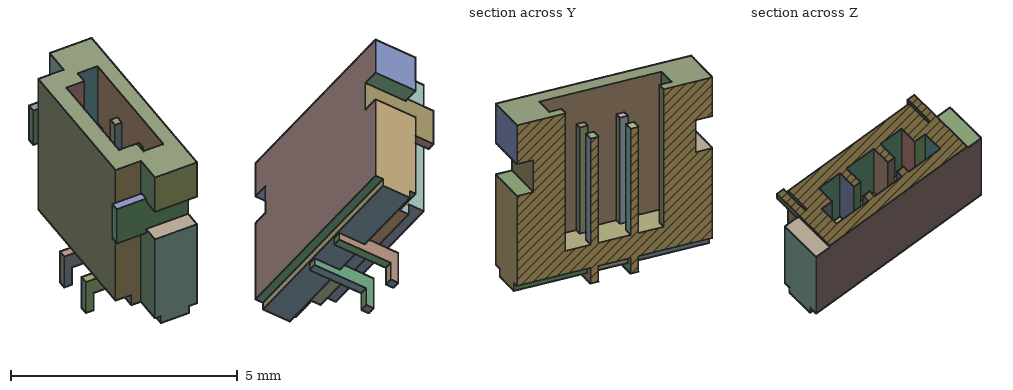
import cadquery as cq

total_height = 5.0
total_depth = 1.8

housing_width = 4.8
housing_height = 4.1
flange_depth = 1.06
front_width = 3.52
front_depth = 1.7
front_step_height = 0.3
front_step_depth = 1.3
housing_bottom = total_height - housing_height

strip_height = 0.2
strip_back = 0.2
strip_front = 0.91

cavity_back = 0.35
cavity_step = 0.85
cavity_front = 1.3
cavity_wide = 3.0
cavity_narrow = 2.4
cavity_depth = 3.5

clip_span = 4.0
clip_thickness = 0.2
clip_height = 1.0
clip_top = total_height - 0.915
notch_height = 0.8
notch_top = total_height - 1.0
notch_depth = (housing_width - clip_span) / 2

contact_pitch = 0.985
contact_width = 0.2
contact_back = 0.235
back_tine_front = 0.525
front_tine_back = 0.825
tine_top = total_height - 0.8
tail_height = 0.4
foot_length = 0.2


def block(width, back, front, bottom, top, center_x=0.0):
    """Box centred on center_x; back and front are distances from the back face."""
    return (
        cq.Workplane("XY")
        .box(width, front - back, top - bottom, centered=(True, False, False))
        .translate((center_x, -front, bottom))
    )


def make_housing():
    flange = block(housing_width, 0, flange_depth, housing_bottom, total_height)
    front = block(front_width, 0, front_depth, housing_bottom, total_height)
    step_top = housing_bottom + front_step_height
    front_step = block(front_width, front_step_depth, front_depth, housing_bottom, step_top)
    strip = block(housing_width, strip_back, strip_front, housing_bottom - strip_height, housing_bottom)
    return flange.union(front.cut(front_step)).union(strip)


def make_cavity():
    floor = total_height - cavity_depth
    wide = block(cavity_wide, cavity_back, cavity_step, floor, total_height)
    narrow = block(cavity_narrow, cavity_back, cavity_front, floor, total_height)
    return wide.union(narrow)


def make_notch(side):
    center_x = side * (housing_width - notch_depth) / 2
    return block(notch_depth, 0, flange_depth, notch_top - notch_height, notch_top, center_x)


def make_clip(side):
    center_x = side * (clip_span - clip_thickness) / 2
    return block(clip_thickness, 0, total_depth, clip_top - clip_height, clip_top, center_x)


def make_contact(center_x):
    tail_bottom = housing_bottom - tail_height
    foot_back = total_depth - foot_length
    back_tine = block(contact_width, contact_back, back_tine_front, tail_bottom, tine_top, center_x)
    front_tine = block(contact_width, front_tine_back, cavity_front, tail_bottom, tine_top, center_x)
    tail = block(contact_width, contact_back, total_depth, tail_bottom, housing_bottom, center_x)
    foot = block(contact_width, foot_back, total_depth, 0, housing_bottom, center_x)
    return back_tine.union(front_tine).union(tail).union(foot)


result = make_housing().cut(make_cavity())
for side in (-1, 1):
    result = result.cut(make_notch(side))
    result = result.union(make_clip(side))
    result = result.union(make_contact(side * contact_pitch / 2))